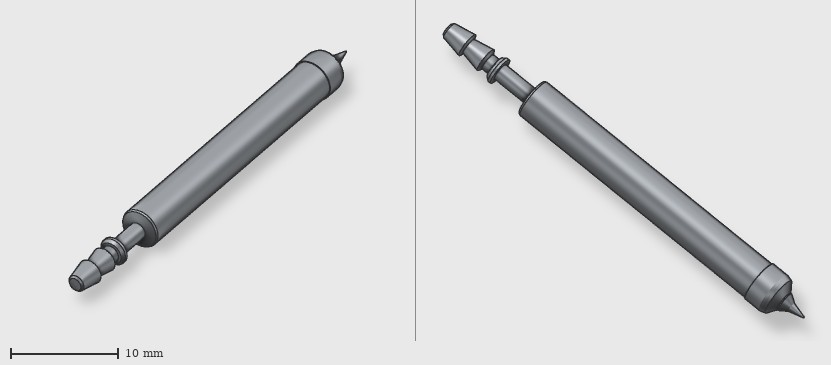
import cadquery as cq

total_length = 43.5

needle_tip_radius = 0.06
needle_length = 1.5
needle_radius = 0.47
front_cone_end = 2.3
front_cone_end_radius = 1.0
nose_land_end = 2.42
rear_cone_end = 3.1
rear_cone_end_radius = 1.93

collar_start = 3.7
collar_end = 5.45
collar_radius = 2.1
collar_lead_length = 0.25
collar_lead_height = 0.06

barrel_radius = 2.0
barrel_end = 33.45
barrel_side_end = 33.0
barrel_face_start = 33.2
barrel_face_radius = 1.9

tube_radius = 0.85
flange_start = 37.1
flange_rim_end = 37.4
flange_end = 37.75
flange_radius = 1.4
flange_back_radius = 1.15
barb_radius = 1.25
first_barb_lead = 0.25
second_barb_lead = 0.18
first_barb_peak = 38.85
second_barb_peak = 41.1
tail_chamfer = 0.2

collar_dimple_station = 4.55
collar_dimple_diameter = 0.8
barrel_dimple_station = 32.25
barrel_dimple_diameter = 0.45
dimple_depth = 0.2


def y_at(station):
    """Y coordinate of a distance back from the tip, with the part centred on the origin."""
    return total_length / 2 - station


def make_body():
    """Revolve the half outline, given as (radius, distance from tip), about the Y axis."""
    outline = [
        (0, 0),
        (needle_tip_radius, 0),
        (needle_radius, needle_length),
        (front_cone_end_radius, front_cone_end),
        (front_cone_end_radius, nose_land_end),
        (rear_cone_end_radius, rear_cone_end),
        (collar_radius - collar_lead_height, collar_start - collar_lead_length),
        (collar_radius, collar_start),
        (collar_radius, collar_end),
        (barrel_radius, collar_end),
        (barrel_radius, barrel_side_end),
        (barrel_face_radius, barrel_face_start),
        (tube_radius, barrel_end),
        (tube_radius, flange_start),
        (flange_radius, flange_start),
        (flange_radius, flange_rim_end),
        (flange_back_radius, flange_end),
        (tube_radius, flange_end),
        (tube_radius, first_barb_peak - first_barb_lead),
        (barb_radius, first_barb_peak),
        (tube_radius, second_barb_peak - second_barb_lead),
        (barb_radius, second_barb_peak),
        (tube_radius, total_length - tail_chamfer),
        (tube_radius - tail_chamfer, total_length),
        (0, total_length),
    ]
    points = [(y_at(station), radius) for radius, station in outline]
    return cq.Workplane("YZ").polyline(points).close().revolve(360, (0, 0, 0), (1, 0, 0))


def make_dimple(station, diameter, surface_radius):
    """Round flat-bottomed cutter entering from the -X side."""
    return (
        cq.Workplane("YZ", origin=(-surface_radius + dimple_depth, 0, 0))
        .center(y_at(station), 0)
        .circle(diameter / 2)
        .extrude(-2 * dimple_depth)
    )


result = (
    make_body()
    .cut(make_dimple(collar_dimple_station, collar_dimple_diameter, collar_radius))
    .cut(make_dimple(barrel_dimple_station, barrel_dimple_diameter, barrel_radius))
)